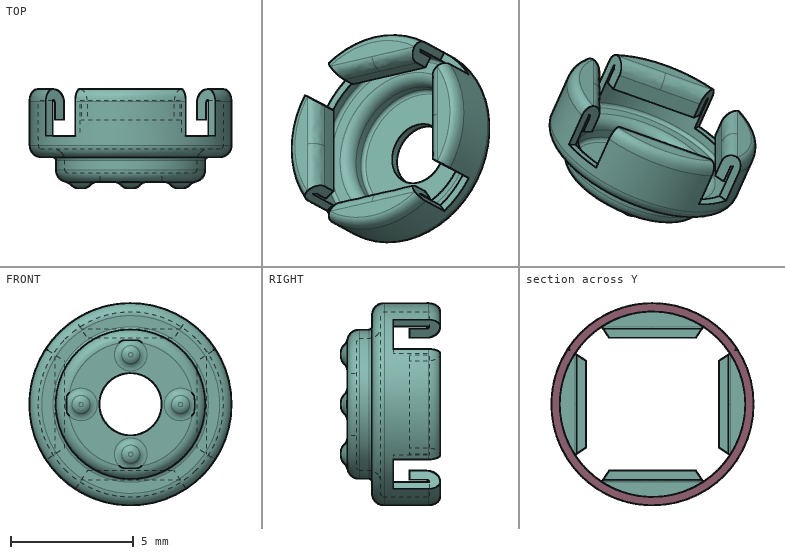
import cadquery as cq
import math

sheet = 0.35
floor_thickness = 0.38
corner_radius = 0.5
inner_corner_radius = corner_radius - sheet

bore_radius = 1.265
neck_radius = 3.05
flare_radius = 0.12
outer_flare_radius = flare_radius + sheet

cup_radius = 4.13
shoulder_y = 1.01
rim_y = 3.80
cup_inner = cup_radius - sheet

tab_count = 4
tab_half_angle = math.radians(33.2)
slot_floor_y = rim_y - 1.915

hem_sheet = 0.45
hem_crest_x = cup_inner * math.cos(tab_half_angle)
hem_gap_width = 0.08
hem_gap_arc_height = 0.13
hem_bend_height = hem_sheet + hem_gap_arc_height
leg_thickness = 0.38
leg_outer_x = hem_crest_x - hem_gap_width
leg_inner_x = leg_outer_x - leg_thickness
leg_end_y = rim_y - 1.26

bump_count = 4
bump_circle_radius = 2.03
bump_radius = 0.665
bump_height = 0.26
bump_crest_radius = 0.37
bump_crest_height = 0.14
bump_tip_radius = 0.09
bump_arc_radius = 0.385
bump_outer_limit = 2.62


def corner_midpoint(center_x, center_y, radius, angle_degrees):
    """Point on a circle, used as the middle of an arc."""
    angle = math.radians(angle_degrees)
    return center_x + radius * math.cos(angle), center_y + radius * math.sin(angle)


def make_shell():
    """Both cups as one revolved sheet profile."""
    neck_inner = neck_radius - sheet
    neck_corner_y = floor_thickness + inner_corner_radius
    shoulder_inner_y = shoulder_y + sheet
    corner_x = neck_radius - corner_radius
    cup_corner_x = cup_radius - corner_radius
    cup_corner_y = shoulder_y + corner_radius
    flare_x = neck_radius + flare_radius
    flare_y = shoulder_y - flare_radius

    profile = (
        cq.Workplane("XY")
        .moveTo(bore_radius, 0)
        .lineTo(corner_x, 0)
        .threePointArc(
            corner_midpoint(corner_x, corner_radius, corner_radius, -45),
            (neck_radius, corner_radius),
        )
        .lineTo(neck_radius, flare_y)
        .threePointArc(
            corner_midpoint(flare_x, flare_y, flare_radius, 135),
            (flare_x, shoulder_y),
        )
        .lineTo(cup_corner_x, shoulder_y)
        .threePointArc(
            corner_midpoint(cup_corner_x, cup_corner_y, corner_radius, -45),
            (cup_radius, cup_corner_y),
        )
        .lineTo(cup_radius, rim_y - corner_radius)
        .ellipseArc(sheet, corner_radius, 0, 90, sense=1)
        .lineTo(cup_inner, cup_corner_y)
        .threePointArc(
            corner_midpoint(cup_corner_x, cup_corner_y, inner_corner_radius, -45),
            (cup_corner_x, shoulder_inner_y),
        )
        .lineTo(flare_x, shoulder_inner_y)
        .threePointArc(
            corner_midpoint(flare_x, flare_y, outer_flare_radius, 135),
            (neck_inner, flare_y),
        )
        .lineTo(neck_inner, neck_corner_y)
        .threePointArc(
            corner_midpoint(corner_x, neck_corner_y, inner_corner_radius, -45),
            (corner_x, floor_thickness),
        )
        .lineTo(bore_radius, floor_thickness)
        .close()
    )
    return profile.revolve(360, (0, 0, 0), (0, 1, 0))


def make_hem():
    """Folded edge of the +X tab: a flat web inside the rim, a bend and a straight leg."""
    bend_y = rim_y - hem_bend_height
    profile = (
        cq.Workplane("XY")
        .moveTo(cup_radius, rim_y)
        .lineTo(hem_crest_x, rim_y)
        .ellipseArc(hem_crest_x - leg_inner_x, hem_bend_height, 90, 180, sense=1)
        .lineTo(leg_inner_x, leg_end_y)
        .lineTo(leg_outer_x, leg_end_y)
        .lineTo(leg_outer_x, bend_y)
        .ellipseArc(hem_gap_width, hem_gap_arc_height, 90, 180, sense=-1)
        .lineTo(cup_radius, rim_y - hem_sheet)
        .close()
        .extrude(leg_inner_x, both=True)
    )
    wall_inside = cq.Workplane("XZ").circle(cup_inner).extrude(-rim_y)
    return profile.intersect(wall_inside)


def make_slot(center_angle):
    """Wedge with radial sides, reaching from the slot floor to the rim."""
    half_angle = math.pi / tab_count - tab_half_angle
    reach = 2 * cup_radius
    depth = rim_y - slot_floor_y
    sides = [center_angle - half_angle, center_angle + half_angle]
    corners = [(reach * math.cos(a), reach * math.sin(a)) for a in sides]
    return (
        cq.Workplane("XZ", origin=(0, slot_floor_y, 0))
        .polyline([(0, 0)] + corners)
        .close()
        .extrude(-depth)
    )


def make_bump(angle):
    """Dome with a flat tip and a concave foot, rooted inside the floor."""
    root_y = floor_thickness / 2
    bump = (
        cq.Workplane("XY")
        .moveTo(0, root_y)
        .lineTo(bump_radius, root_y)
        .lineTo(bump_radius, 0)
        .radiusArc((bump_crest_radius, -bump_crest_height), -bump_arc_radius)
        .radiusArc((bump_tip_radius, -bump_height), bump_arc_radius)
        .lineTo(0, -bump_height)
        .close()
        .revolve(360, (0, 0, 0), (0, 1, 0))
    )
    x = bump_circle_radius * math.cos(angle)
    z = bump_circle_radius * math.sin(angle)
    return bump.translate((x, 0, z))


def make_bumps():
    """Bumps evenly spaced around the bore, trimmed where the neck corner falls away."""
    limit = cq.Workplane("XZ").circle(bump_outer_limit).extrude(floor_thickness, both=True)
    bumps = cq.Workplane("XY")
    for index in range(bump_count):
        bumps = bumps.union(make_bump(index * 2 * math.pi / bump_count))
    return bumps.intersect(limit)


def make_body():
    """Cups with the wall hemmed and then divided into tabs."""
    body = make_shell()
    tab_pitch = 2 * math.pi / tab_count
    for index in range(tab_count):
        turn = math.degrees(index * tab_pitch)
        body = body.union(make_hem().rotate((0, 0, 0), (0, 1, 0), turn))
    for index in range(tab_count):
        body = body.cut(make_slot((index + 0.5) * tab_pitch))
    return body


result = make_body().union(make_bumps())